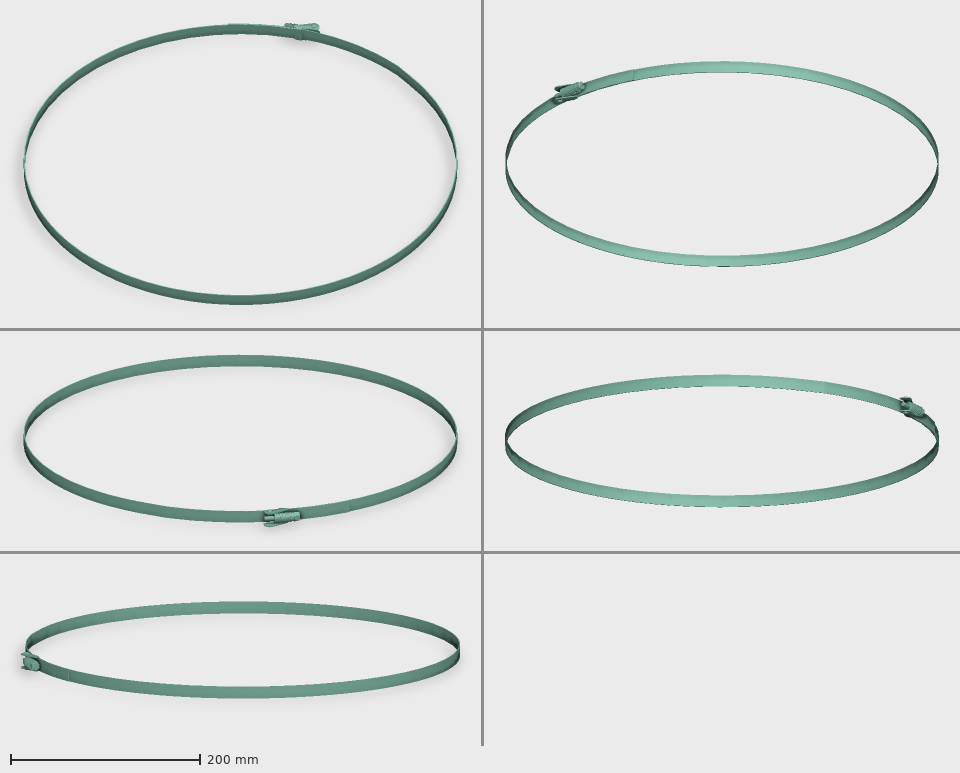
import cadquery as cq
import math


OVERALL_X = 458.5
OVERALL_Y = 471

BAND_RADIUS = OVERALL_X / 2
BAND_THICKNESS = 1.0
BAND_WIDTH = 12.5
LAYER_GAP = 0.25
TAIL_INNER_RADIUS = BAND_RADIUS + LAYER_GAP
TAIL_RADIUS = TAIL_INNER_RADIUS + BAND_THICKNESS
STEP_START_ANGLE = 55
STEP_END_ANGLE = 59.4
TAIL_ANGLE = 109
START_CLEARANCE_X = 0.5

SCREW_Y = 236.0
THREAD_DIAMETER = 11.0
THREAD_RADIUS = THREAD_DIAMETER / 2
ROOT_RADIUS = 4.5
HEAD_START_X = -18.0
HEAD_LENGTH = 5.0
HEAD_FLATS = 8.5
HEAD_CHAMFER = 0.5
SLOT_TURN = 45
SLOT_WIDTH = 1.5
SLOT_DEPTH = 2.0
COLLAR_LENGTH = 1.0
COLLAR_TO_RIDGE = 4.2
THREAD_PITCH = 3.0
THREAD_COUNT = 7
RIDGE_WIDTH = 1.0
TIP_RADIUS = 2.5
TIP_END_X = 20.3
TIP_FILLET = 1.0
COLLAR_X = HEAD_START_X + HEAD_LENGTH
FIRST_RIDGE_X = COLLAR_X + COLLAR_TO_RIDGE
SHAFT_END_X = FIRST_RIDGE_X + (THREAD_COUNT - 1) * THREAD_PITCH + RIDGE_WIDTH

PLATE_THICKNESS = 1.2
SADDLE_WIDTH = 15.5
PLATE_OUTER_Z = SADDLE_WIDTH / 2
PLATE_INNER_Z = PLATE_OUTER_Z - PLATE_THICKNESS
PLATE_LEFT_X = -6.0
PLATE_BOTTOM_Y = 230.0
PLATE_RAISED_Y = 231.5
PLATE_FOOT_END_X = 7.5
PLATE_LEFT_TOP_Y = 232.5
PLATE_CORNER = 1.5
STRAP_LEFT_X = -4.2
STRAP_RIGHT_X = 3.0
STRAP_INNER_Y = 227.5
STRAP_BEND_RADIUS = 1.2

RIVET_X = 14.0
SHANK_RADIUS = 2.0
RIVET_HEAD_RADIUS = 3.0
RIVET_TOP_Z = 9.5
RIVET_CHAMFER = 1.0
PLATE_TOP_Y = OVERALL_Y - BAND_RADIUS
EYE_RADIUS = PLATE_TOP_Y - SCREW_Y
SLOPE_TANGENT_ANGLE = 115


def polar(radius, degrees):
    angle = math.radians(degrees)
    return (radius * math.cos(angle), radius * math.sin(angle))


def make_band():
    """One open strip: a full turn, an outward step, then a tail over its own start."""
    inner = BAND_RADIUS - BAND_THICKNESS
    start = 90 + math.degrees(math.asin((START_CLEARANCE_X - STRAP_LEFT_X) / BAND_RADIUS))
    ring_middle = (start + STEP_START_ANGLE + 360) / 2
    tail_middle = (STEP_END_ANGLE + TAIL_ANGLE) / 2
    return (
        cq.Workplane("XY", origin=(0, 0, -BAND_WIDTH / 2))
        .moveTo(*polar(inner, start))
        .threePointArc(polar(inner, ring_middle), polar(inner, STEP_START_ANGLE))
        .lineTo(*polar(TAIL_INNER_RADIUS, STEP_END_ANGLE))
        .threePointArc(polar(TAIL_INNER_RADIUS, tail_middle), polar(TAIL_INNER_RADIUS, TAIL_ANGLE))
        .lineTo(*polar(TAIL_RADIUS, TAIL_ANGLE))
        .threePointArc(polar(TAIL_RADIUS, tail_middle), polar(TAIL_RADIUS, STEP_END_ANGLE))
        .lineTo(*polar(BAND_RADIUS, STEP_START_ANGLE))
        .threePointArc(polar(BAND_RADIUS, ring_middle), polar(BAND_RADIUS, start))
        .close()
        .extrude(BAND_WIDTH)
    )


def plate_outline(workplane):
    """Side plate: a low left end rising along a slope to a round eye at the right."""
    eye_right_x = RIVET_X + EYE_RADIUS
    slope_end = polar(EYE_RADIUS, SLOPE_TANGENT_ANGLE)
    eye_middle = polar(EYE_RADIUS, SLOPE_TANGENT_ANGLE / 2)
    return (
        workplane
        .moveTo(PLATE_LEFT_X, PLATE_BOTTOM_Y)
        .lineTo(PLATE_LEFT_X, PLATE_LEFT_TOP_Y)
        .lineTo(RIVET_X + slope_end[0], SCREW_Y + slope_end[1])
        .threePointArc((RIVET_X + eye_middle[0], SCREW_Y + eye_middle[1]), (eye_right_x, SCREW_Y))
        .lineTo(eye_right_x, PLATE_RAISED_Y + PLATE_CORNER)
        .lineTo(eye_right_x - PLATE_CORNER, PLATE_RAISED_Y)
        .lineTo(PLATE_FOOT_END_X, PLATE_RAISED_Y)
        .lineTo(PLATE_FOOT_END_X, PLATE_BOTTOM_Y)
        .close()
    )


def make_saddle():
    """Two side plates joined by a strap that passes under the outer layer of the band."""
    plates = plate_outline(cq.Workplane("XY", origin=(0, 0, -PLATE_OUTER_Z))).extrude(SADDLE_WIDTH)
    strap_width = STRAP_RIGHT_X - STRAP_LEFT_X
    strap = (
        cq.Workplane("XY", origin=(STRAP_LEFT_X, STRAP_INNER_Y, -PLATE_OUTER_Z))
        .rect(strap_width, PLATE_BOTTOM_Y - STRAP_INNER_Y, centered=False)
        .extrude(SADDLE_WIDTH)
        .edges("<Y and |X")
        .fillet(STRAP_BEND_RADIUS)
    )
    channel = (
        cq.Workplane("XY", origin=(0, 0, -PLATE_INNER_Z))
        .circle(PLATE_TOP_Y + EYE_RADIUS)
        .circle(TAIL_INNER_RADIUS)
        .extrude(2 * PLATE_INNER_Z)
    )
    rivet_holes = (
        cq.Workplane("XY", origin=(RIVET_X, SCREW_Y, -PLATE_OUTER_Z))
        .circle(SHANK_RADIUS)
        .extrude(SADDLE_WIDTH)
    )
    return plates.union(strap).cut(channel).cut(rivet_holes)


def screw_section(x):
    return cq.Workplane("YZ", origin=(x, SCREW_Y, 0))


def make_screw():
    """Slotted hexagon head, collar, shaft with worm ridges, and a plain tip."""
    head = (
        screw_section(HEAD_START_X)
        .polygon(6, HEAD_FLATS, circumscribed=True)
        .extrude(HEAD_LENGTH)
        .faces("<X")
        .chamfer(HEAD_CHAMFER)
    )
    slot = screw_section(HEAD_START_X).rect(SLOT_WIDTH, 2 * HEAD_FLATS).extrude(SLOT_DEPTH)
    slot = slot.rotate((0, SCREW_Y, 0), (1, SCREW_Y, 0), SLOT_TURN)
    collar = screw_section(COLLAR_X).circle(THREAD_RADIUS).extrude(COLLAR_LENGTH)
    shaft = screw_section(COLLAR_X).circle(ROOT_RADIUS).extrude(SHAFT_END_X - COLLAR_X)
    tip = (
        screw_section(SHAFT_END_X)
        .circle(TIP_RADIUS)
        .extrude(TIP_END_X - SHAFT_END_X)
        .faces(">X")
        .edges()
        .fillet(TIP_FILLET)
    )
    screw = head.cut(slot).union(collar).union(shaft).union(tip)
    for index in range(THREAD_COUNT):
        ridge_x = FIRST_RIDGE_X + index * THREAD_PITCH
        screw = screw.union(screw_section(ridge_x).circle(THREAD_RADIUS).extrude(RIDGE_WIDTH))
    return screw


def make_rivet(side):
    """Rivet in one plate, with its head outside; side is +1 or -1 along Z."""
    rivet = (
        cq.Workplane("XY", origin=(RIVET_X, SCREW_Y, PLATE_INNER_Z))
        .circle(SHANK_RADIUS)
        .extrude(PLATE_THICKNESS)
        .faces(">Z")
        .workplane()
        .circle(RIVET_HEAD_RADIUS)
        .extrude(RIVET_TOP_Z - PLATE_OUTER_Z)
        .faces(">Z")
        .chamfer(RIVET_CHAMFER)
    )
    return rivet if side > 0 else rivet.mirror("XY")


band = make_band()
saddle = make_saddle()
screw = make_screw()
rivets = [make_rivet(side) for side in (1, -1)]

result = cq.Compound.makeCompound(
    [band.val(), saddle.val(), screw.val(), *[rivet.val() for rivet in rivets]]
)